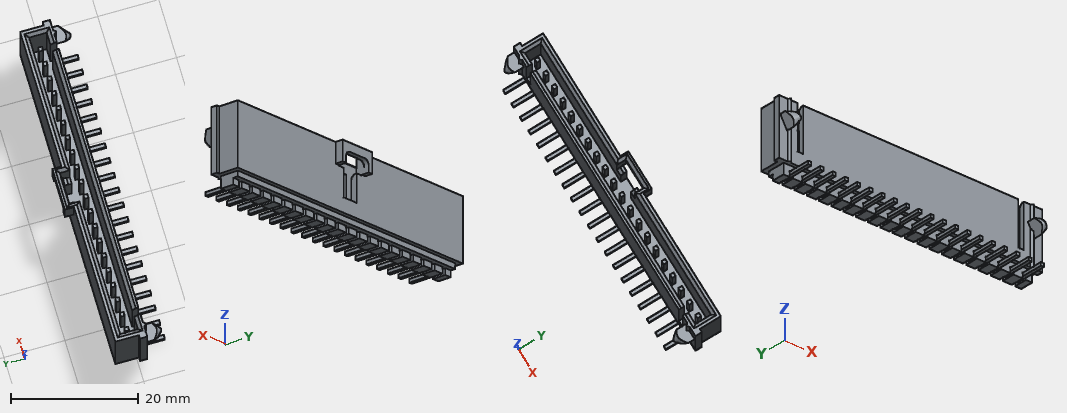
import cadquery as cq


overall_length = 54.6
overall_height = 13.6
shroud_length = 53.4
shroud_depth = 5.1
shroud_bottom = 2.15
floor_level = 4.75
front_wall = 1.05
rear_wall = 1.15
end_wall = 1.15
rim_run = 0.6
rim_drop = 0.5
ear_depth = 1.2

slot_width = 1.15
slot_center = 22.9

ridge_center = 25.2
ridge_half_width = 0.4
ridge_height = 0.41

bridge_length = 7.05
bridge_back = 6.55
bridge_bottom = 9.9
bridge_wall = 1.0
bar_bottom = 12.0
window_radius = 1.0
key_width = 5.35
key_slot_width = 3.05
ledge_level = 9.8

base_length = 51.55
base_front = 0.7
base_step_back = 3.35
base_back = 4.25
base_step_level = 1.15

pin_count = 20
pin_row_length = 48.3
pin_size = 0.65
pin_bottom = 0.4
pin_top = 10.2
pin_row_y = 2.45
pin_tail_end = -3.7

peg_center = 25.65
peg_width = 2.85
peg_top = 10.2
peg_bottom = 7.7
peg_reach = 2.85
cone_center = 25.4
cone_level = 9.2
cone_root_radius = 3.35
dome_edge_radius = 0.35
dome_height = 0.135

cavity_length = shroud_length - 2 * end_wall
cavity_back = shroud_depth - rear_wall
dome_radius = (dome_edge_radius**2 + dome_height**2) / (2 * dome_height)
pin_pitch = pin_row_length / (pin_count - 1)


def block(length, y_front, y_back, z_low, z_high, x_center=0):
    """Box centred on x_center, spanning the given Y and Z limits."""
    depth = y_back - y_front
    height = z_high - z_low
    box = cq.Workplane("XY").box(length, depth, height, centered=(True, False, False))
    return box.translate((x_center, y_front, z_low))


def funnel_opening(length, y_front, y_back, z_low):
    """Straight-walled opening that flares out to a bevelled rim at the top."""
    depth = y_back - y_front
    flare = (
        cq.Workplane("XY", origin=(0, y_front + depth / 2, overall_height - rim_drop))
        .rect(length, depth)
        .workplane(offset=rim_drop)
        .rect(length + 2 * rim_run, depth + 2 * rim_run)
        .loft(ruled=True)
    )
    return block(length, y_front, y_back, z_low, overall_height).union(flare)


def make_shroud():
    shroud = block(shroud_length, 0, shroud_depth, shroud_bottom, overall_height)
    ears = block(overall_length, 0, ear_depth, shroud_bottom, overall_height)
    bridge = block(bridge_length, cavity_back, bridge_back, bridge_bottom, overall_height)
    shroud = shroud.union(ears).union(bridge)
    shroud = shroud.cut(funnel_opening(cavity_length, front_wall, cavity_back, floor_level))
    for side in (-1, 1):
        slot = block(slot_width, 0, front_wall, floor_level, overall_height, side * slot_center)
        shroud = shroud.cut(slot)
    return shroud


def make_keyway():
    """Space removed from the rear wall and from inside the bridge."""
    keyway = funnel_opening(key_width, pin_row_y, bridge_back - bridge_wall, ledge_level)
    key_slot = block(key_slot_width, pin_row_y, shroud_depth, floor_level, ledge_level)
    ledge_bevel = (
        cq.Workplane("YZ", origin=(-key_width / 2, 0, 0))
        .moveTo(cavity_back, ledge_level)
        .lineTo(cavity_back + rim_run, ledge_level)
        .lineTo(cavity_back, ledge_level - rim_drop)
        .close()
        .extrude(key_width)
    )
    window = block(key_width, shroud_depth, bridge_back, ledge_level, bar_bottom)
    window = window.edges("|Y and >Z").fillet(window_radius)
    return keyway.union(key_slot).union(ledge_bevel).union(window)


def make_ridge(side):
    return (
        cq.Workplane("XY", origin=(side * ridge_center, 0, shroud_bottom))
        .moveTo(-ridge_half_width, 0)
        .lineTo(0, -ridge_height)
        .lineTo(ridge_half_width, 0)
        .close()
        .extrude(overall_height - shroud_bottom)
    )


def make_peg(side):
    """Triangular peg whose end is trimmed by a cone with a domed tip."""
    prism = (
        cq.Workplane("XZ", origin=(side * peg_center, 0, 0))
        .moveTo(-peg_width / 2, peg_top)
        .lineTo(peg_width / 2, peg_top)
        .lineTo(0, peg_bottom)
        .close()
        .extrude(peg_reach)
    )
    cone = (
        cq.Workplane("XY", origin=(side * cone_center, 0, cone_level))
        .lineTo(cone_root_radius, 0)
        .lineTo(dome_edge_radius, dome_height - peg_reach)
        .radiusArc((0, -peg_reach), dome_radius)
        .close()
        .revolve(360, (0, 0, 0), (0, 1, 0))
    )
    return prism.intersect(cone)


def make_base():
    lower = block(base_length, base_front, base_step_back, 0, shroud_bottom)
    upper = block(base_length, base_front, base_back, base_step_level, shroud_bottom)
    return lower.union(upper)


def pin_positions():
    return [index * pin_pitch - pin_row_length / 2 for index in range(pin_count)]


def make_pin(x):
    """Right-angle pin: upright contact and a tail running out to the front."""
    pin_back = pin_row_y + pin_size / 2
    upright = block(pin_size, pin_back - pin_size, pin_back, pin_bottom, pin_top, x)
    tail = block(pin_size, pin_tail_end, pin_back, pin_bottom, pin_bottom + pin_size, x)
    return upright.union(tail)


result = make_shroud().cut(make_keyway()).union(make_base())
for side in (-1, 1):
    result = result.union(make_ridge(side)).union(make_peg(side))
for x in pin_positions():
    tail_slot = block(pin_size, base_front, base_step_back, 0, base_step_level, x)
    result = result.cut(tail_slot).union(make_pin(x))